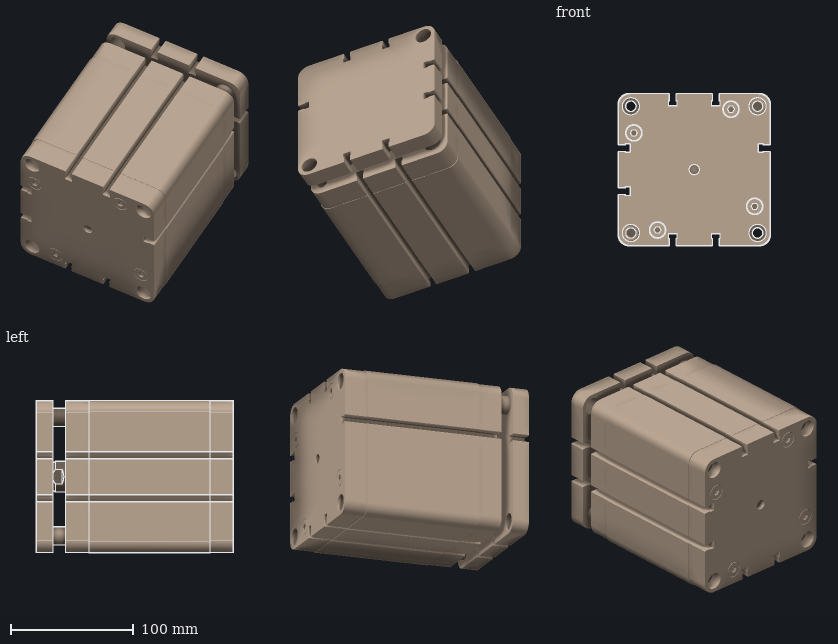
import cadquery as cq
import math

LENGTH = 160.5
TUBE_SIDE = 124.0
CAP_SIDE = 123.5
CAP_LENGTH = 19.3
GAP = 10.0
PLATE_THICKNESS = 14.0
REAR_Y = -LENGTH / 2
PLATE_Y = LENGTH / 2 - PLATE_THICKNESS
FRONT_Y = PLATE_Y - GAP
TUBE_LENGTH = FRONT_Y - REAR_Y - 2 * CAP_LENGTH

CAP_CORNER_RADIUS = 9.6
TUBE_CORNER_RADIUS = 9.1

SLOT_OFFSET = 17.5
SLOT_NECK_WIDTH = 5.3
SLOT_NECK_DEPTH = 5.8
SLOT_WIDTH = 6.7
SLOT_DEPTH = 9.8
SLOT_MOUTH_CHAMFER = 0.5
SLOT_PLACES = (
    (0, -SLOT_OFFSET),
    (0, SLOT_OFFSET),
    (180, -SLOT_OFFSET),
    (180, SLOT_OFFSET),
    (-90, -SLOT_OFFSET),
    (-90, SLOT_OFFSET),
    (90, -SLOT_OFFSET),
)

MOUNT_OFFSET = 51.5
MOUNT_BORE = 14.0
MOUNT_BORE_DEPTH = 9.6
MOUNT_HOLE = 8.3
BLIND_MOUNT_DEPTH = 32.1

SCREW_X = 29.9
SCREW_Z = 49.1
SCREW_RECESS = 13.5
SCREW_HEAD = 12.5
SCREW_HEAD_HEIGHT = 8.0
SOCKET_ACROSS_FLATS = 5.0
SOCKET_DEPTH = 4.0

CENTER_HOLE = 8.3
CENTER_HOLE_DEPTH = 4.0

GUIDE_OFFSET = 48.2
GUIDE_DIAMETER = 15.1
PISTON_ROD = 25.0
ROD_TIP_CHAMFER_LENGTH = 2.0
ROD_TIP_CHAMFER_DEPTH = 1.1
ROD_ACROSS_FLATS = 22.0
ROD_FLAT_LENGTH = 7.0


def section(y):
    """A workplane across the part at the given Y, with local axes X and Z."""
    return cq.Workplane("XZ", origin=(0, y, 0))


def cylinder(diameter, y, length, x=0.0, z=0.0):
    """A cylinder along Y that starts at y and runs toward +Y."""
    return section(y).center(x, z).circle(diameter / 2).extrude(-length)


def t_slot(side, y, length, angle, offset):
    """A cutter for a T-slot in the top face of a block, turned about Y by the given angle."""
    top = side / 2
    neck = SLOT_NECK_WIDTH / 2
    mouth = neck + SLOT_MOUTH_CHAMFER
    half = SLOT_WIDTH / 2
    right_side = [
        (mouth, top),
        (neck, top - SLOT_MOUTH_CHAMFER),
        (neck, top - SLOT_NECK_DEPTH),
        (half, top - SLOT_NECK_DEPTH),
        (half, top - SLOT_DEPTH),
    ]
    left_side = [(-x, z) for x, z in reversed(right_side)]
    outline = [(x + offset, z) for x, z in right_side + left_side]
    cutter = section(y).polyline(outline).close().extrude(-length)
    return cutter.rotate((0, 0, 0), (0, 1, 0), angle)


def block(y, length, side, corner_radius):
    """A square block with rounded edges along Y and T-slots in its four faces."""
    shape = section(y).rect(side, side).extrude(-length).edges("|Y").fillet(corner_radius)
    for angle, offset in SLOT_PLACES:
        shape = shape.cut(t_slot(side, y, length, angle, offset))
    return shape


def piston_rod():
    """The exposed piston rod, with a tapered tip and two wrench flats that run out at 45 degrees."""
    radius = PISTON_ROD / 2
    tip_radius = radius - ROD_TIP_CHAMFER_DEPTH
    profile = [
        (0, FRONT_Y),
        (radius, FRONT_Y),
        (radius, PLATE_Y - ROD_TIP_CHAMFER_LENGTH),
        (tip_radius, PLATE_Y),
        (0, PLATE_Y),
    ]
    rod = cq.Workplane("XY").polyline(profile).close().revolve(360, (0, 0), (0, 1))

    flat_x = ROD_ACROSS_FLATS / 2
    flat_y = PLATE_Y - ROD_FLAT_LENGTH
    runout = radius - flat_x
    wedge = [(flat_x, PLATE_Y), (flat_x, flat_y), (radius, flat_y - runout), (radius, PLATE_Y)]
    flat = cq.Workplane("XY").polyline(wedge).close().extrude(radius, both=True)
    return rod.cut(flat).cut(flat.mirror("YZ"))


body = block(REAR_Y, CAP_LENGTH, CAP_SIDE, CAP_CORNER_RADIUS)
body = body.union(block(REAR_Y + CAP_LENGTH, TUBE_LENGTH, TUBE_SIDE, TUBE_CORNER_RADIUS))
body = body.union(block(FRONT_Y - CAP_LENGTH, CAP_LENGTH, CAP_SIDE, CAP_CORNER_RADIUS))
plate = block(PLATE_Y, PLATE_THICKNESS, CAP_SIDE, CAP_CORNER_RADIUS)

for side_x in (-1, 1):
    for side_z in (-1, 1):
        x = side_x * MOUNT_OFFSET
        z = side_z * MOUNT_OFFSET
        body = body.cut(cylinder(MOUNT_BORE, REAR_Y, MOUNT_BORE_DEPTH, x, z))
        if side_x == side_z:
            body = body.cut(cylinder(MOUNT_HOLE, REAR_Y, BLIND_MOUNT_DEPTH, x, z))
        else:
            body = body.cut(cylinder(MOUNT_HOLE, REAR_Y, FRONT_Y - REAR_Y, x, z))
            plate = plate.cut(cylinder(MOUNT_BORE, PLATE_Y, PLATE_THICKNESS, x, z))

body = body.cut(cylinder(CENTER_HOLE, REAR_Y, CENTER_HOLE_DEPTH))

socket_width = SOCKET_ACROSS_FLATS / math.cos(math.pi / 6)
for x, z in ((SCREW_X, SCREW_Z), (SCREW_Z, -SCREW_X), (-SCREW_X, -SCREW_Z), (-SCREW_Z, SCREW_X)):
    gap_ring = cylinder(SCREW_RECESS, REAR_Y, SCREW_HEAD_HEIGHT, x, z)
    gap_ring = gap_ring.cut(cylinder(SCREW_HEAD, REAR_Y, SCREW_HEAD_HEIGHT, x, z))
    socket = section(REAR_Y).center(x, z).polygon(6, socket_width).extrude(-SOCKET_DEPTH)
    body = body.cut(gap_ring).cut(socket)

result = body.union(plate).union(piston_rod())
for side in (-1, 1):
    offset = side * GUIDE_OFFSET
    result = result.union(cylinder(GUIDE_DIAMETER, FRONT_Y, GAP, offset, offset))